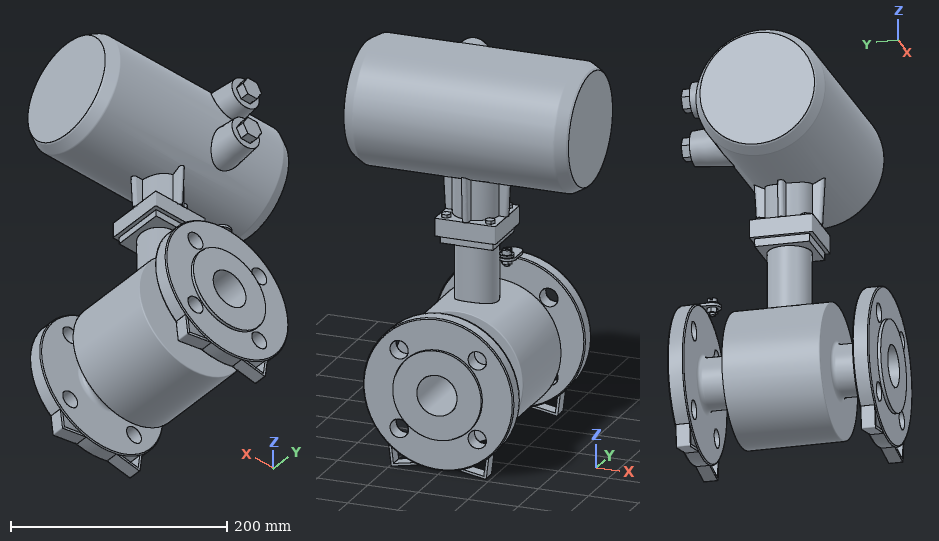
import cadquery as cq
import math


overall_length = 200.0
bore_diameter = 40.0
pipe_diameter = 49.5
pipe_fillet = 4.5
body_diameter = 130.0
body_length = 94.7
edge_rounding = 1.0
flange_diameter = 150.0
flange_thickness = 15.8
raised_face_diameter = 88.0
raised_face_height = 3.0
bolt_circle_diameter = 110.0
bolt_hole_diameter = 18.0
bolt_hole_count = 4

flange_outer_y = overall_length / 2 - raised_face_height
flange_inner_y = flange_outer_y - flange_thickness
flange_middle_y = (flange_outer_y + flange_inner_y) / 2

foot_bottom_z = -77.8
foot_sheet = 2.7
foot_top = (49.0, -54.0)
foot_corner = (46.2, foot_bottom_z + foot_sheet / 2)
foot_inner_end = (15.5, -71.0)
foot_width = flange_thickness - 2 * edge_rounding

column_diameter = 42.0
collar_bottom_z = 121.5
collar_width = 52.7
block_bottom_z = 129.5
block_top_z = 147.0
block_width = 61.0
block_edge_rounding = 0.8
block_screw_spacing = 44.0
block_screw_corners = 9.5
block_screw_height = 3.0

housing_diameter = 124.7
housing_length = 224.0
housing_center_x = 1.0
housing_top_z = 307.2
housing_center_z = housing_top_z - housing_diameter / 2
cap_length = 12.0
cap_end_diameter = 113.0
cap_edge = 1.5
cap_shoulder_radius = 3.5
socket_diameter = 46.2
rib_thickness = 6.0
rib_reach_bottom = 31.5
rib_reach_at_housing = 33.5
gland_x = -35.0
gland_spacing_z = 48.0
gland_end_y = 82.0
gland_root_y = 38.5
gland_end_diameter = 33.5
gland_draft_angle = 5.0
plug_flats = 19.5
plug_length = 9.5

tab_bottom_z = 74.5
tab_thickness = 2.7
tab_width = 18.0
tab_outer_y = 98.5
tab_inner_y = 66.0
screw_y = 74.3
washer_diameter = 13.5
washer_thickness = 2.0
screw_head_diameter = 9.2
screw_head_height = 4.5
screw_slot_width = 2.5
screw_slot_depth = 2.0
nut_corners = 10.5
nut_height = 4.5
stud_diameter = 5.5
stud_bottom_z = 67.8


def along_y(diameter, start_y, end_y):
    """Cylinder on the Y axis between two Y positions."""
    plane = cq.Workplane("XZ", origin=(0, start_y, 0))
    return plane.circle(diameter / 2).extrude(start_y - end_y)


def upright(profile_width, bottom_z, top_z):
    """Square prism centred on the Z axis."""
    plane = cq.Workplane("XY", origin=(0, 0, bottom_z))
    return plane.rect(profile_width, profile_width).extrude(top_z - bottom_z)


def make_flange():
    """Flange on the +Y end with raised face and bolt holes between the axes."""
    disc = along_y(flange_diameter, flange_inner_y, flange_outer_y).edges().chamfer(edge_rounding)
    raised_face = along_y(raised_face_diameter, flange_outer_y, overall_length / 2)
    holes = (
        cq.Workplane("XZ", origin=(0, flange_inner_y, 0))
        .polarArray(bolt_circle_diameter / 2, 180 / bolt_hole_count, 360, bolt_hole_count)
        .circle(bolt_hole_diameter / 2)
        .extrude(-flange_thickness)
    )
    return disc.union(raised_face).cut(holes)


def make_neck():
    """Pipe between body and +Y flange, flared by a fillet radius at both ends."""
    body_end_y = body_length / 2
    pipe_radius = pipe_diameter / 2
    flare_radius = pipe_radius + pipe_fillet
    diagonal = pipe_fillet * (1 - math.sqrt(0.5))
    return (
        cq.Workplane("XY")
        .moveTo(0, body_end_y)
        .lineTo(flare_radius, body_end_y)
        .threePointArc(
            (pipe_radius + diagonal, body_end_y + diagonal),
            (pipe_radius, body_end_y + pipe_fillet),
        )
        .lineTo(pipe_radius, flange_inner_y - pipe_fillet)
        .threePointArc(
            (pipe_radius + diagonal, flange_inner_y - diagonal),
            (flare_radius, flange_inner_y),
        )
        .lineTo(0, flange_inner_y)
        .close()
        .revolve(360, (0, 0, 0), (0, 1, 0))
    )


def make_foot():
    """Bent strip on the +X side of the +Y flange, thickened about its centre line."""
    return (
        cq.Workplane("XZ", origin=(0, flange_middle_y + foot_width / 2, 0))
        .polyline([foot_top, foot_corner, foot_inner_end])
        .offset2D(foot_sheet / 2)
        .extrude(foot_width)
    )


def make_flow_tube():
    body = along_y(body_diameter, -body_length / 2, body_length / 2).edges().fillet(edge_rounding)
    foot = make_foot()
    end = make_flange().union(make_neck()).union(foot).union(foot.mirror("YZ"))
    return body.union(end).union(end.mirror("XZ"))


def make_column():
    column = cq.Workplane("XY").circle(column_diameter / 2).extrude(collar_bottom_z)
    collar = upright(collar_width, collar_bottom_z, block_bottom_z)
    block = upright(block_width, block_bottom_z, block_top_z).edges("|Z").fillet(block_edge_rounding)
    screws = (
        cq.Workplane("XY", origin=(0, 0, block_top_z))
        .rect(block_screw_spacing, block_screw_spacing, forConstruction=True)
        .vertices()
        .polygon(6, block_screw_corners)
        .extrude(block_screw_height)
    )
    return column.union(collar).union(block).union(screws)


def make_socket():
    """Round socket under the housing with two crossing round-edged ribs that widen upwards."""
    plane = cq.Workplane("XY", origin=(0, 0, block_top_z))
    socket = plane.circle(socket_diameter / 2).extrude(housing_center_z - block_top_z)
    rise_to_housing = housing_center_z - housing_diameter / 2 - block_top_z
    rib_slope = (rib_reach_at_housing - rib_reach_bottom) / rise_to_housing
    rib_top_z = housing_center_z - housing_diameter / 4
    rib_reach_top = rib_reach_bottom + rib_slope * (rib_top_z - block_top_z)
    rib = (
        plane.slot2D(2 * rib_reach_bottom, rib_thickness)
        .workplane(offset=rib_top_z - block_top_z)
        .slot2D(2 * rib_reach_top, rib_thickness)
        .loft(ruled=True)
    )
    return socket.union(rib).union(rib.rotate((0, 0, 0), (0, 0, 1), 90))


def make_housing():
    """Round drum along X with a tapered cap behind a rounded shoulder at each end."""
    half_length = housing_length / 2
    outer_radius = housing_diameter / 2
    cap_radius = cap_end_diameter / 2
    half_outline = [
        (0, 0),
        (0, outer_radius),
        (half_length - cap_length, outer_radius),
        (half_length - cap_edge, cap_radius),
        (half_length, cap_radius - cap_edge),
        (half_length, 0),
    ]
    half = cq.Workplane("XZ").polyline(half_outline).close().revolve(360, (0, 0, 0), (1, 0, 0))
    shoulder = cq.selectors.BoxSelector(
        (half_length - 2 * cap_length, -outer_radius, -outer_radius),
        (half_length - cap_length / 2, outer_radius, outer_radius),
    )
    half = half.edges("%CIRCLE").edges(shoulder).fillet(cap_shoulder_radius)
    drum = half.union(half.mirror("YZ"))
    return drum.translate((housing_center_x, 0, housing_center_z))


def make_gland(center_z):
    """Tapered cable entry on the +Y side, closed by a hexagon plug."""
    draft = math.tan(math.radians(gland_draft_angle))
    gland_length = gland_end_y - gland_root_y
    end_radius = gland_end_diameter / 2
    boss = cq.Workplane(
        cq.Solid.makeCone(
            end_radius + gland_length * draft,
            end_radius,
            gland_length,
            cq.Vector(gland_x, gland_root_y, center_z),
            cq.Vector(0, 1, 0),
        )
    )
    plug = (
        cq.Workplane("XZ", origin=(gland_x, gland_end_y, center_z))
        .polygon(6, plug_flats / math.cos(math.pi / 6))
        .extrude(-plug_length)
    )
    return boss.union(plug)


def make_earthing_tab():
    """Round-ended tab on the flange rim, carrying a slotted screw with washer and nut."""
    tab_top_z = tab_bottom_z + tab_thickness
    washer_top_z = tab_top_z + washer_thickness
    head_top_z = washer_top_z + screw_head_height
    tab = (
        cq.Workplane("XY", origin=(0, (tab_outer_y + tab_inner_y) / 2, tab_bottom_z))
        .slot2D(tab_outer_y - tab_inner_y, tab_width, 90)
        .extrude(tab_thickness)
    )
    washer = cq.Workplane("XY", origin=(0, screw_y, tab_top_z))
    washer = washer.circle(washer_diameter / 2).extrude(washer_thickness)
    head = cq.Workplane("XY", origin=(0, screw_y, washer_top_z))
    head = head.circle(screw_head_diameter / 2).extrude(screw_head_height)
    slot = cq.Workplane("XY", origin=(0, screw_y, head_top_z))
    slot = slot.rect(screw_head_diameter, screw_slot_width).extrude(-screw_slot_depth)
    nut = cq.Workplane("XY", origin=(0, screw_y, tab_bottom_z))
    nut = nut.polygon(6, nut_corners).extrude(-nut_height)
    stud = cq.Workplane("XY", origin=(0, screw_y, stud_bottom_z))
    stud = stud.circle(stud_diameter / 2).extrude(tab_bottom_z - stud_bottom_z)
    return tab.union(washer).union(head.cut(slot)).union(nut).union(stud)


bore = along_y(bore_diameter, -overall_length / 2, overall_length / 2)

result = make_flow_tube().union(make_column()).cut(bore)
result = result.union(make_socket()).union(make_housing())
for side in (-1, 1):
    result = result.union(make_gland(housing_center_z + side * gland_spacing_z / 2))
result = result.union(make_earthing_tab())